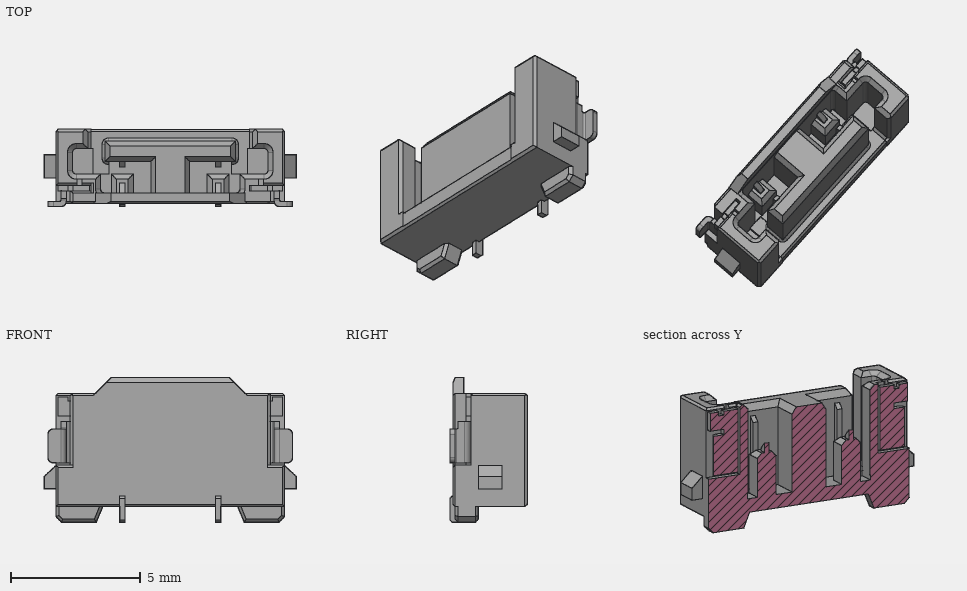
import cadquery as cq
import math

HALF_WIDTH = 4.42
FRONT = 0.12
BACK = 3.0
BOTTOM = 0.6
WALL_TOP = 4.98
BEVEL = 0.09
BACK_BEVEL = 0.12

FRONT_WALL_BACK = 0.54
CREST_TOP = 5.6
CREST_HALF_WIDTH = 2.28
CREST_BEVEL_HEIGHT = 0.195
CREST_FOOT_HALF_WIDTH = CREST_HALF_WIDTH + CREST_TOP - WALL_TOP

FLOOR = 1.365
FLOOR_RECESS = 0.195
FLOOR_BACK = 2.98
MOUTH_BEVEL = 0.195
WELL_HALF_WIDTH = 2.69
WELL_RADIUS = 0.15
POCKET_HALF_WIDTH = 3.77
POCKET_FRONT = 1.26
POCKET_BACK = 2.24
POCKET_RADIUS = 0.15
POCKET_RECESS_INNER_X = 2.98
BACK_OPENING_HALF_WIDTH = 3.18
BASE_FLARE = 0.12
WELL_OUTER_X = 2.37

TONGUE_TOP = 4.57
TONGUE_BEVEL_WIDTH = 0.19
TONGUE_BEVEL_HEIGHT = 0.27
TONGUE_HALF_WIDTH = 2.52
TONGUE_FRONT = 1.75
TONGUE_BACK = 2.535
STEM_HALF_WIDTH = 0.75
TONGUE_BASE_RADIUS = 0.24

CONTACT_X = 1.85
CONTACT_WIDTH = 0.21
CONTACT_THICKNESS = 0.2
CONTACT_TOP = 4.095
CONTACT_BLOCK_WIDTH = 0.85
CONTACT_BLOCK_TOP = 2.925
TAIL_TOP = 1.01
TAIL_SLOPE = 0.1
TAIL_DEPTH = 0.36
FRONT_PRONG_BACK = 0.91

NOTCH_X = 3.87
NOTCH_BOTTOM = 2.2
NOTCH_BACK = 0.82
NOTCH_BEVEL_WIDTH = 0.12
METAL = 0.2
PLATE_FRONT = NOTCH_BACK - METAL
PLATE_INNER_X = 3.11
PLATE_OUTER_X = 4.34
PLATE_TOP = 4.85
EAR_BOTTOM = 4.1
NECK_INNER_X = 3.75
NECK_OUTER_X = 3.96
PLATE_NICK_DEPTH = 0.16
SLOT_INNER_X = 3.05
SLIT_FLOOR = 4.58
SLIT_X = 3.5
SLIT_WIDTH = 0.195
STRAP_X = 4.22
STRAP_TOP = 3.9
STRAP_BOTTOM = 2.29
STRAP_SHOULDER_Y = 0.32
TAB_X = 4.73
TAB_TOP = 3.61
TAB_RADIUS = 0.21
INNER_BEND = 0.06
OUTER_BEND = INNER_BEND + METAL

WEDGE_X = 4.875
WEDGE_FRONT = 1.1
WEDGE_BACK = 2.01
WEDGE_BOTTOM = 1.29
WEDGE_SHOULDER = 1.76
WEDGE_TOP = 2.19

FOOT_FRONT = 0.2
FOOT_BACK = 1.1
FOOT_INNER_X_TOP = 2.6
FOOT_INNER_X_BOTTOM = 2.86
FOOT_CORNER = 0.21
FOOT_BEVEL = 0.12


def block(x0, x1, y0, y1, z0, z1):
    """Axis-aligned box between the given limits."""
    return cq.Workplane("XY").box(x1 - x0, y1 - y0, z1 - z0, centered=False).translate((x0, y0, z0))


def along_x(points, x0, x1):
    """Prism with a (y, z) outline between two X positions."""
    return cq.Workplane("YZ").workplane(offset=x0).polyline(points).close().extrude(x1 - x0)


def along_y(points, y0, y1):
    """Prism with an (x, z) outline between two Y positions."""
    return cq.Workplane("XZ").workplane(offset=-y1).polyline(points).close().extrude(y1 - y0)


def along_z(points, z0, z1):
    """Prism with an (x, y) outline between two Z positions."""
    return cq.Workplane("XY").workplane(offset=z0).polyline(points).close().extrude(z1 - z0)


def mirrored(points):
    """Close an outline given on the -X side with its mirror image."""
    return points + [(-x, v) for x, v in reversed(points)]


def both_sides(solid):
    """The solid and its mirror image across X = 0."""
    return solid.union(solid.mirror("YZ"))


def body_envelope():
    """Block with bevelled edges, as the overlap of its plan, side and front outlines."""
    plan = along_z(mirrored([
        (-HALF_WIDTH + BEVEL, FRONT), (-HALF_WIDTH, FRONT + BEVEL),
        (-HALF_WIDTH, BACK - BACK_BEVEL), (-HALF_WIDTH + BEVEL, BACK),
    ]), BOTTOM, WALL_TOP)
    side = along_x([
        (FRONT, BOTTOM + BEVEL), (FRONT + BEVEL, BOTTOM), (BACK - BACK_BEVEL, BOTTOM), (BACK, BOTTOM + BEVEL),
        (BACK, WALL_TOP - BEVEL), (BACK - BACK_BEVEL, WALL_TOP),
        (FRONT + BEVEL, WALL_TOP), (FRONT, WALL_TOP - BEVEL),
    ], -HALF_WIDTH, HALF_WIDTH)
    elevation = along_y(mirrored([
        (-HALF_WIDTH, BOTTOM), (-HALF_WIDTH, WALL_TOP - BEVEL), (-HALF_WIDTH + BEVEL, WALL_TOP),
    ]), FRONT, BACK)
    return plan.intersect(side).intersect(elevation)


def cut_cavity(body):
    """Open the connector cavity from the top and back, then bevel its mouth."""
    cavity = along_z(mirrored([
        (-WELL_HALF_WIDTH, FRONT_WALL_BACK), (-WELL_HALF_WIDTH, POCKET_FRONT),
        (-POCKET_HALF_WIDTH, POCKET_FRONT), (-POCKET_HALF_WIDTH, POCKET_BACK),
        (-BACK_OPENING_HALF_WIDTH, POCKET_BACK), (-BACK_OPENING_HALF_WIDTH, BACK),
    ]), FLOOR, WALL_TOP)
    cavity = cavity.edges("|Z and (<X or >X)").fillet(POCKET_RADIUS)
    cavity = cavity.edges("|Z and <Y").fillet(WELL_RADIUS)
    opening_edge = along_z([
        (-BACK_OPENING_HALF_WIDTH - BACK_BEVEL, BACK), (-BACK_OPENING_HALF_WIDTH, BACK - BACK_BEVEL),
        (-BACK_OPENING_HALF_WIDTH, BACK),
    ], FLOOR, WALL_TOP)
    body = body.cut(cavity).cut(both_sides(opening_edge))
    mouth_reach = POCKET_HALF_WIDTH + MOUTH_BEVEL
    mouth = cq.selectors.BoxSelector(
        (-mouth_reach, FRONT_WALL_BACK + BEVEL, WALL_TOP - BEVEL / 2),
        (mouth_reach, BACK - 2 * BACK_BEVEL, WALL_TOP + BEVEL),
    )
    body = body.edges(mouth).chamfer(MOUTH_BEVEL)

    sill = along_x([
        (FLOOR_BACK - BEVEL, FLOOR), (FLOOR_BACK, FLOOR - BEVEL),
        (FLOOR_BACK, BOTTOM), (BACK, BOTTOM), (BACK, FLOOR),
    ], -BACK_OPENING_HALF_WIDTH + BASE_FLARE, BACK_OPENING_HALF_WIDTH - BASE_FLARE)
    flare = along_y([
        (-BACK_OPENING_HALF_WIDTH, FLOOR), (-BACK_OPENING_HALF_WIDTH, FLOOR + BASE_FLARE),
        (-BACK_OPENING_HALF_WIDTH + BASE_FLARE, FLOOR),
    ], POCKET_BACK, BACK - BACK_BEVEL)
    recess_floor = FLOOR - FLOOR_RECESS
    pocket_recess = block(-POCKET_HALF_WIDTH, -POCKET_RECESS_INNER_X, POCKET_FRONT, POCKET_BACK,
                          recess_floor, FLOOR)
    pocket_recess = pocket_recess.edges("|Z and <X").fillet(POCKET_RADIUS)
    wide_well = block(-WELL_HALF_WIDTH, -STEM_HALF_WIDTH, FRONT_WALL_BACK, POCKET_FRONT, recess_floor, FLOOR)
    narrow_well = block(-WELL_OUTER_X, -STEM_HALF_WIDTH, POCKET_FRONT, TONGUE_FRONT, recess_floor, FLOOR)
    recesses = pocket_recess.union(wide_well).union(narrow_well)
    return body.cut(sill).union(both_sides(flare)).cut(both_sides(recesses))


def front_crest():
    """Upper part of the front wall, with 45 degree shoulders and a bevelled front edge."""
    silhouette = along_y(mirrored([
        (-CREST_FOOT_HALF_WIDTH - BEVEL, WALL_TOP - BEVEL), (-CREST_HALF_WIDTH, CREST_TOP),
    ]), FRONT, FRONT_WALL_BACK)
    section = along_x([
        (FRONT, FLOOR), (FRONT_WALL_BACK, FLOOR), (FRONT_WALL_BACK, CREST_TOP),
        (FRONT + BEVEL, CREST_TOP), (FRONT, CREST_TOP - CREST_BEVEL_HEIGHT),
    ], -HALF_WIDTH, HALF_WIDTH)
    return silhouette.intersect(section)


def bevelled_bar(half_width, front):
    """Upright bar of the tongue, from a given front to the tongue back, narrowing near its top."""
    bevel_angle = math.degrees(math.atan2(TONGUE_BEVEL_WIDTH, TONGUE_BEVEL_HEIGHT))
    bevel_start = TONGUE_TOP - TONGUE_BEVEL_HEIGHT
    shank = block(-half_width, half_width, front, TONGUE_BACK, BOTTOM + BEVEL, bevel_start)
    return shank.faces(">Z").wires().toPending().workplane().extrude(TONGUE_BEVEL_HEIGHT, taper=bevel_angle)


def tongue():
    """T-shaped tongue with a bevelled top and a flared base."""
    bar = bevelled_bar(TONGUE_HALF_WIDTH, TONGUE_FRONT)
    stem = bevelled_bar(STEM_HALF_WIDTH, FRONT + BEVEL)
    base = (
        cq.Workplane("XY").workplane(offset=FLOOR - FLOOR_RECESS)
        .center(0, (TONGUE_FRONT + TONGUE_BACK) / 2)
        .rect(2 * (TONGUE_HALF_WIDTH + BASE_FLARE), TONGUE_BACK - TONGUE_FRONT + 2 * BASE_FLARE)
        .extrude(FLOOR_RECESS + BASE_FLARE)
        .edges("|Z").fillet(TONGUE_BASE_RADIUS)
        .faces(">Z").edges().chamfer(BASE_FLARE)
    )
    wells = block(-WELL_OUTER_X, WELL_OUTER_X, FRONT_WALL_BACK, TONGUE_FRONT, FLOOR - FLOOR_RECESS, WALL_TOP)
    return bar.union(stem).union(base.cut(wells))


def contact():
    """One contact: block on the front wall, prong beside the tongue and solder tail."""
    x0 = -CONTACT_X - CONTACT_WIDTH / 2
    x1 = -CONTACT_X + CONTACT_WIDTH / 2
    half_block = CONTACT_BLOCK_WIDTH / 2
    holder = block(-CONTACT_X - half_block, -CONTACT_X + half_block, FRONT + BEVEL, POCKET_FRONT,
                   BOTTOM + BEVEL, CONTACT_BLOCK_TOP)
    holder = holder.faces(">Z").edges().chamfer(MOUTH_BEVEL)
    prong_shoulder = CONTACT_BLOCK_TOP + BEVEL
    front_prong = along_x([
        (FRONT_WALL_BACK, FLOOR), (FRONT_PRONG_BACK, FLOOR), (FRONT_PRONG_BACK, prong_shoulder),
        (FRONT_WALL_BACK, prong_shoulder + FRONT_PRONG_BACK - FRONT_WALL_BACK),
    ], x0, x1)
    rear_prong = along_x([
        (TONGUE_FRONT - CONTACT_THICKNESS, BOTTOM + BEVEL), (TONGUE_FRONT, BOTTOM + BEVEL),
        (TONGUE_FRONT, CONTACT_TOP), (TONGUE_FRONT - CONTACT_THICKNESS, CONTACT_TOP - CONTACT_THICKNESS),
    ], x0, x1)
    tail = along_x([
        (0, BEVEL), (BEVEL, 0), (TAIL_DEPTH, 0), (TAIL_DEPTH, TAIL_TOP),
        (BEVEL, TAIL_TOP), (0, TAIL_TOP - TAIL_SLOPE),
    ], x0, x1)
    return holder.union(front_prong).union(rear_prong).union(tail)


def side_notch():
    """Corner cut on the -X side for the hold-down, with a bevelled rim at its front and bottom."""
    notch = block(-HALF_WIDTH, -NOTCH_X, FRONT, NOTCH_BACK, NOTCH_BOTTOM, WALL_TOP)
    rim_x = -NOTCH_X + NOTCH_BEVEL_WIDTH
    front_edge = along_z([
        (-NOTCH_X, FRONT), (rim_x, FRONT), (-NOTCH_X, FRONT + BEVEL),
    ], NOTCH_BOTTOM, WALL_TOP)
    lower_edge = along_x([
        (FRONT, NOTCH_BOTTOM - BEVEL), (FRONT + BEVEL, NOTCH_BOTTOM), (FRONT, NOTCH_BOTTOM),
    ], -HALF_WIDTH, rim_x)
    back_edge = along_x([
        (NOTCH_BACK, WALL_TOP - BEVEL), (NOTCH_BACK + BEVEL, WALL_TOP), (NOTCH_BACK, WALL_TOP),
    ], -HALF_WIDTH, -SLIT_X)
    return notch.union(front_edge).union(lower_edge).union(back_edge)


def plate_slot():
    """Slot on the -X side for the hold-down plate, with a slit running on toward the pocket."""
    slot = block(-NOTCH_X, -SLOT_INNER_X, PLATE_FRONT, NOTCH_BACK, NOTCH_BOTTOM, WALL_TOP)
    slit = block(-SLIT_X - SLIT_WIDTH / 2, -SLIT_X + SLIT_WIDTH / 2,
                 NOTCH_BACK, POCKET_FRONT - MOUTH_BEVEL, SLIT_FLOOR, WALL_TOP)
    return slot.union(slit)


def slot_lead_in():
    """Bevels around the top of the slot and notch, found on the -X side only."""
    bevel_start = WALL_TOP - BEVEL
    front_edge = along_x([
        (PLATE_FRONT, bevel_start), (PLATE_FRONT - BEVEL, WALL_TOP), (PLATE_FRONT, WALL_TOP),
    ], -NOTCH_X, -SLOT_INNER_X)
    back_edge = along_x([
        (NOTCH_BACK, bevel_start), (NOTCH_BACK + BEVEL, WALL_TOP), (NOTCH_BACK, WALL_TOP),
    ], -SLIT_X, -SLOT_INNER_X)
    end_edge = along_y([
        (-SLOT_INNER_X, bevel_start), (-SLOT_INNER_X + BEVEL, WALL_TOP), (-SLOT_INNER_X, WALL_TOP),
    ], PLATE_FRONT - BEVEL, NOTCH_BACK + BEVEL)
    notch_edge = along_y([
        (-NOTCH_X, WALL_TOP), (-NOTCH_X, bevel_start), (-NOTCH_X + NOTCH_BEVEL_WIDTH, WALL_TOP),
    ], FRONT, NOTCH_BACK)
    return front_edge.union(back_edge).union(end_edge).union(notch_edge)


def hold_down():
    """Bent metal hold-down: plate in the slot, strap through the notch and soldering tab."""
    plate = block(-NECK_OUTER_X, -PLATE_INNER_X, PLATE_FRONT, NOTCH_BACK, STRAP_BOTTOM, PLATE_TOP)
    ear = block(-PLATE_OUTER_X, -NOTCH_X, PLATE_FRONT, NOTCH_BACK, EAR_BOTTOM, PLATE_TOP)
    nick = block(-NECK_OUTER_X, -NECK_INNER_X, PLATE_FRONT, NOTCH_BACK,
                 PLATE_TOP - PLATE_NICK_DEPTH, PLATE_TOP)
    neck_gap = block(-NECK_OUTER_X, -NECK_INNER_X, PLATE_FRONT, NOTCH_BACK, STRAP_TOP, EAR_BOTTOM)

    inner_x = -STRAP_X + METAL
    strap = (
        cq.Workplane("XY").workplane(offset=STRAP_BOTTOM)
        .moveTo(-NOTCH_X, NOTCH_BACK)
        .lineTo(-STRAP_X + OUTER_BEND, NOTCH_BACK)
        .radiusArc((-STRAP_X, NOTCH_BACK - OUTER_BEND), -OUTER_BEND)
        .lineTo(-STRAP_X, METAL + INNER_BEND)
        .radiusArc((-STRAP_X - INNER_BEND, METAL), INNER_BEND)
        .lineTo(-TAB_X, METAL)
        .lineTo(-TAB_X, 0)
        .lineTo(-STRAP_X, 0)
        .radiusArc((inner_x, METAL), -METAL)
        .lineTo(inner_x, PLATE_FRONT - INNER_BEND)
        .radiusArc((inner_x + INNER_BEND, PLATE_FRONT), INNER_BEND)
        .lineTo(-NOTCH_X, PLATE_FRONT)
        .close()
        .extrude(STRAP_TOP - STRAP_BOTTOM)
    )
    above_tab = block(-TAB_X, -NOTCH_X, 0, STRAP_SHOULDER_Y, TAB_TOP, STRAP_TOP)
    above_tab = above_tab.edges("|X and >Y and <Z").fillet(INNER_BEND)
    strap = strap.cut(above_tab).edges("|Y and <X").fillet(TAB_RADIUS)
    return plate.union(ear).cut(nick).cut(neck_gap).union(strap)


def side_wedge():
    """Locking wedge on the outer side, with an upper ramp."""
    return along_y([
        (-HALF_WIDTH + BEVEL, WEDGE_BOTTOM), (-WEDGE_X, WEDGE_BOTTOM), (-WEDGE_X, WEDGE_SHOULDER),
        (-HALF_WIDTH, WEDGE_TOP), (-HALF_WIDTH + BEVEL, WEDGE_TOP),
    ], WEDGE_FRONT, WEDGE_BACK)


def foot():
    """Foot under the body, with a slanted inner end and bevelled edges."""
    join = BOTTOM + BEVEL
    lean = (FOOT_INNER_X_BOTTOM - FOOT_INNER_X_TOP) / BOTTOM
    outline = along_y([
        (-HALF_WIDTH, join), (-HALF_WIDTH, FOOT_CORNER), (-HALF_WIDTH + FOOT_CORNER, 0),
        (-FOOT_INNER_X_BOTTOM, 0), (-FOOT_INNER_X_TOP + lean * BEVEL, join),
    ], FOOT_FRONT, FOOT_BACK)
    return outline.faces("<Y or >Y").edges("not >Z").chamfer(FOOT_BEVEL)


body = cut_cavity(body_envelope())
body = body.union(front_crest())
body = body.cut(both_sides(side_notch().union(plate_slot()))).cut(slot_lead_in())
body = body.union(tongue())
for feature in (hold_down(), side_wedge(), foot(), contact()):
    body = body.union(both_sides(feature))
result = body